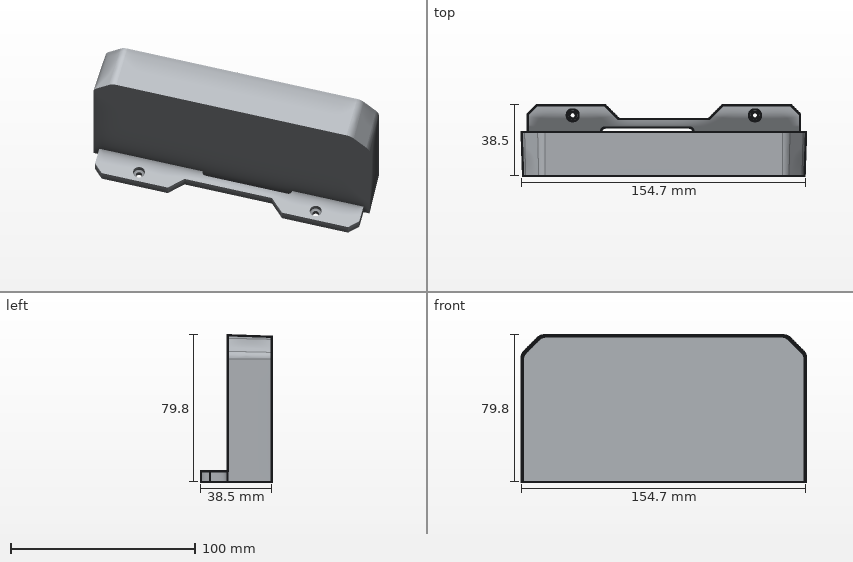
import cadquery as cq

front_width = 153.0
front_height = 79.0
body_depth = 24.0
draft_angle = 2.0
corner_chamfer = 10.0
corner_radius = 5.0

flange_width = 148.0
flange_reach = 14.5
flange_thickness = 6.0
flange_corner = 5.0

notch_mouth_width = 64.0
notch_depth = 7.5

slot_center_x = -9.0
slot_width = 50.0
slot_depth = 2.25
slot_corner_radius = 2.0

hole_spacing = 99.0
hole_from_body = 9.0
hole_diameter = 3.5
counterbore_diameter = 6.5
counterbore_depth = 3.0


def make_body():
    """Block flaring toward its back face on Y = 0, with rounded top corner chamfers and a flat bottom."""
    half_width = front_width / 2
    shoulder_height = front_height - corner_chamfer
    shoulder_half_width = half_width - corner_chamfer
    outline = (
        cq.Sketch()
        .polygon([
            (0, -half_width),
            (shoulder_height, -half_width),
            (front_height, -shoulder_half_width),
            (front_height, shoulder_half_width),
            (shoulder_height, half_width),
            (0, half_width),
            (0, -half_width),
        ])
        .vertices("not <X")
        .fillet(corner_radius)
    )
    body = (
        cq.Workplane("ZX", origin=(0, -body_depth, 0))
        .placeSketch(outline)
        .extrude(body_depth, taper=-draft_angle)
    )
    keep_size = 2 * front_width
    keep_above_bottom = cq.Workplane("XY").box(keep_size, keep_size, keep_size, centered=(True, True, False))
    return body.intersect(keep_above_bottom)


def make_flange():
    """Flange plate behind the body, with chamfered outer corners and a notch in its free edge."""
    half_width = flange_width / 2
    mouth_half_width = notch_mouth_width / 2
    floor_half_width = mouth_half_width - notch_depth
    floor_reach = flange_reach - notch_depth
    return (
        cq.Workplane("XY")
        .polyline([
            (-half_width, 0),
            (-half_width, flange_reach - flange_corner),
            (-half_width + flange_corner, flange_reach),
            (-mouth_half_width, flange_reach),
            (-floor_half_width, floor_reach),
            (floor_half_width, floor_reach),
            (mouth_half_width, flange_reach),
            (half_width - flange_corner, flange_reach),
            (half_width, flange_reach - flange_corner),
            (half_width, 0),
        ])
        .close()
        .extrude(flange_thickness)
    )


def cut_slot(flange):
    """Cut the slot that separates the middle of the flange from the body."""
    slot = (
        cq.Workplane("XY")
        .center(slot_center_x, 0)
        .rect(slot_width, 2 * slot_depth)
        .extrude(flange_thickness)
        .edges("|Z")
        .fillet(slot_corner_radius)
    )
    return flange.cut(slot)


def cut_screw_holes(flange):
    """Drill the two screw holes, counterbored from the top of the flange."""
    return (
        flange.faces(">Z")
        .workplane(origin=(0, hole_from_body, flange_thickness))
        .pushPoints([(-hole_spacing / 2, 0), (hole_spacing / 2, 0)])
        .cboreHole(hole_diameter, counterbore_diameter, counterbore_depth)
    )


flange = cut_screw_holes(cut_slot(make_flange()))
result = make_body().union(flange)